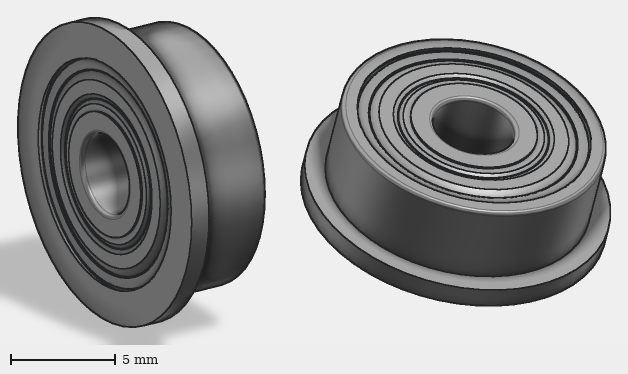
import cadquery as cq

flange_radius = 7.5
flange_thickness = 1.0
body_radius = 13.0 / 2
width = 5.0
bore_radius = 4.0 / 2
edge_fillet = 0.2

recess_rim_radius = 5.73
rim_undercut_radius = 5.85
recess_floor_radius = 5.67
shield_groove_outer_radius = 5.13
shield_groove_inner_radius = 5.07
shield_face_outer_radius = 4.65
shield_face_inner_radius = 3.94
gap_outer_radius = 3.72
gap_inner_radius = 3.67
inner_ring_shoulder_radius = 3.46
inner_ring_face_radius = 3.1

rim_groove_depth = 0.27
recess_depth = 0.2
shield_groove_depth = 0.25
shield_face_depth = 0.09
gap_depth = 0.18
shoulder_depth = 0.09


def revolve_profile(points):
    """Revolve (radius, y) points a full turn about the Y axis."""
    return cq.Workplane("XY").polyline(points).close().revolve(360, (0, 0, 0), (0, 1, 0))


def end_recess():
    """Material removed from the -Y end to leave the shield and inner ring steps."""
    return revolve_profile([
        (recess_rim_radius, 0),
        (rim_undercut_radius, rim_groove_depth),
        (recess_floor_radius, rim_groove_depth),
        (recess_floor_radius, recess_depth),
        (shield_groove_outer_radius, recess_depth),
        (shield_groove_outer_radius, shield_groove_depth),
        (shield_groove_inner_radius, shield_groove_depth),
        (shield_face_outer_radius, shield_face_depth),
        (shield_face_inner_radius, shield_face_depth),
        (gap_outer_radius, gap_depth),
        (gap_inner_radius, gap_depth),
        (inner_ring_shoulder_radius, shoulder_depth),
        (inner_ring_face_radius, shoulder_depth),
        (inner_ring_face_radius, 0),
    ])


bearing = revolve_profile([
    (bore_radius, 0),
    (flange_radius, 0),
    (flange_radius, flange_thickness),
    (body_radius, flange_thickness),
    (body_radius, width),
    (bore_radius, width),
])

bearing = bearing.faces(">Y").edges().fillet(edge_fillet)
bearing = bearing.faces("<Y").edges(cq.selectors.RadiusNthSelector(0)).fillet(edge_fillet)

front_recess = end_recess()
back_recess = front_recess.mirror("XZ").translate((0, width, 0))
result = bearing.cut(front_recess).cut(back_recess)